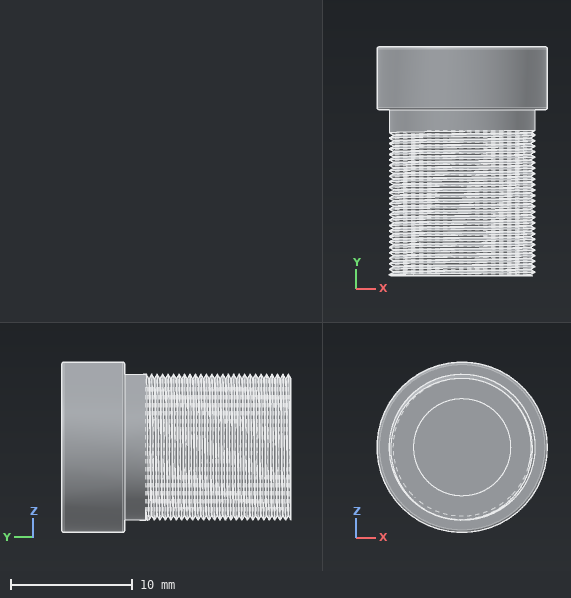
import cadquery as cq
import math

total_length = 18.86
head_diameter = 14.03
head_length = 5.2
head_edge_radius = 0.2
barrel_diameter = 12.01
pocket_diameter = 8.0
pocket_depth = 0.5

thread_length = 11.79
thread_turns = 26.2
flank_half_angle = 30.0
root_flat_fraction = 1 / 8
crest_flat = 0.01
overcut = 0.004

lead_in_turns = 0.45
full_depth_angle = 38.0

barrel_length = total_length - head_length
barrel_radius = barrel_diameter / 2
pitch = thread_length / thread_turns
flank_slope = math.tan(math.radians(flank_half_angle))
root_flat = root_flat_fraction * pitch
groove_depth = (pitch - crest_flat - root_flat) / 2 / flank_slope
full_depth_turns = thread_turns - full_depth_angle / 360
full_depth_y = full_depth_turns * pitch


def cylinder(diameter, start, length):
    """Solid cylinder along +Y, beginning at Y = start."""
    plane = cq.Plane(origin=(0, start, 0), xDir=(1, 0, 0), normal=(0, 1, 0))
    return cq.Workplane(plane).circle(diameter / 2).extrude(length)


def groove_section():
    """Corners of the groove trapezoid as (radius, height), symmetric about height 0."""
    inner_half_width = root_flat / 2
    outer_half_width = inner_half_width + (groove_depth + overcut) * flank_slope
    inner_radius = barrel_radius - groove_depth
    outer_radius = barrel_radius + overcut
    return [
        (inner_radius, -inner_half_width),
        (inner_radius, inner_half_width),
        (outer_radius, outer_half_width),
        (outer_radius, -outer_half_width),
    ]


def helix_edge(radius, start_height, turns, rise):
    """Helix climbing +Z from the +X side, its radius growing by rise over its length."""
    center = cq.Vector(0, 0, start_height)
    height = turns * pitch
    if rise == 0:
        return cq.Wire.makeHelix(pitch, height, radius, center).Edges()[0]
    cone_angle = math.atan2(rise, height)
    slant = 1 / math.cos(cone_angle)
    apex_angle = math.degrees(cone_angle)
    return cq.Wire.makeHelix(pitch * slant, height * slant, radius, center, angle=apex_angle).Edges()[0]


def section_face(turns, rise):
    """Groove section as a face, carried round by the given turns and moved out by rise."""
    height = turns * pitch
    corners = [cq.Vector(radius + rise, 0, z + height) for radius, z in groove_section()]
    face = cq.Face.makeFromWires(cq.Wire.makePolygon(corners, close=True))
    return face.rotate(cq.Vector(0, 0, 0), cq.Vector(0, 0, 1), 360 * turns)


def helical_bar(strip_count, strip_turns, rise=0):
    """Solid swept by the groove section in a row of helical strips."""
    faces = [section_face(0, 0), section_face(strip_count * strip_turns, rise)]
    for strip in range(strip_count):
        strip_height = strip * strip_turns * pitch
        edges = [helix_edge(radius, z + strip_height, strip_turns, rise) for radius, z in groove_section()]
        for edge, next_edge in zip(edges, edges[1:] + edges[:1]):
            faces.append(cq.Face.makeRuledSurface(edge, next_edge))
    return cq.Workplane(cq.Solid.makeSolid(cq.Shell.makeShell(faces)).fix())


def place_on_barrel(bar):
    """Lay a bar along -Y and start it where the groove reaches full depth."""
    laid = bar.rotate((0, 0, 0), (1, 0, 0), 90)
    turned = laid.rotate((0, 0, 0), (0, 1, 0), -full_depth_angle)
    return turned.translate((0, full_depth_y, 0))


def threaded_barrel():
    groove_turns = math.ceil(full_depth_turns + 1 / 2)
    groove = helical_bar(groove_turns, 1)
    lead_in = helical_bar(1, lead_in_turns, rise=groove_depth).rotate((0, 0, 0), (1, 0, 0), 180)
    barrel = cylinder(barrel_diameter, 0, barrel_length)
    return barrel.cut(place_on_barrel(groove)).cut(place_on_barrel(lead_in))


def rounded_head():
    head = cylinder(head_diameter, barrel_length, head_length)
    return head.edges("%CIRCLE").fillet(head_edge_radius)


pocket = cylinder(pocket_diameter, 0, pocket_depth)
result = threaded_barrel().union(rounded_head()).cut(pocket).solids()